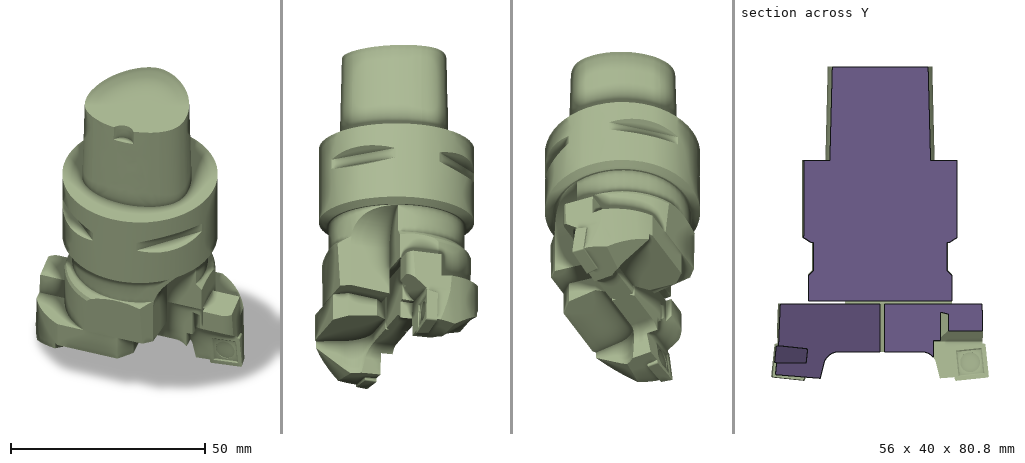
import cadquery as cq
import math

HALF_TURNS = (0, 180)
FAR = 60.0

shank_length = 24.0
polygon_width = 28.1
polygon_eccentricity = 0.9
shank_taper = 1 / 20
lobe_count = 3
points_per_span = 6
notch_radius = 3.0
notch_axis_y = -13.8
notch_depth = 4.0

flange_radius = 20.0
flange_height = 20.0
flange_chamfer_height = 1.3
flange_chamfer_width = 2.0
groove_z = -8.0
groove_floor_distance = 17.7
groove_floor_height = 2.5
groove_flank_angle = 30.0
groove_overrun = 1.0
groove_angles = (45, 135, 225, 315)

neck_radius = 17.5
neck_bottom_z = -28.4
head_radius = 19.4
head_bevel = 1.5
head_edge_height = 1.0
head_half_x = 18.5
head_half_y_top = 17.7
head_half_y_bottom = 17.1
flute_wall_x = 9.0
flute_top_radius = 9.0
flute_top_z = -(flange_height + flange_chamfer_height)
head_corner_x = 6.6
head_corner_y = 17.35
head_corner_sum = head_corner_x + head_corner_y

key_half_width = 4.5
slot_ceiling_z = -36.35
key_top_z = -36.95
joint_inner_z = -42.85
joint_outer_z = -41.3

plate_half_y = 17.0
plate_end_x = -3.2
plate_end_chamfer = 3.2
outline_arc = ((16.4, plate_half_y), (22.7, 11.9), (27.2, 3.0))
plate_root_chamfer = 3.2
slide_tip_turn = 4.4
slide_tip_x_top = 26.35
slide_tip_x_bend = 26.75
slide_tip_x_bottom = 27.7
slide_tip_bend_z = -46.7
slide_tip_radius = 3.0
slide_tip_round_start_x = 23.75
slide_bottom_z = -56.2
slide_tip_bottom_z = -55.2
bottom_bevel_inner_y = 7.1
bottom_bevel_outer_z = -49.6
web_end_chamfer = 1.0
tip_block_start_x = 18.8
arch_z = -49.4
arch_flat_x = 10.6
arch_middle = (13.2, -50.3)
arch_shoulder = (14.5, -52.6)
arch_foot_x = 15.4
web_half_width = 3.0
recess_wall_x = 17.3
recess_corner_radius = 6.5
recess_inner_z = -46.7
recess_outer_z = -48.2
seat_wall_x = 15.5
seat_lower_wall_x = 13.8
seat_top_z = -46.7
seat_roof_slope = 0.72
gash_end_x = 18.8
gash_depth = 2.2
gash_top_z = -39.2
gash_top_drop = 0.8

insert_side = 8.8
insert_thickness = 3.0
insert_corner_radius = 0.4
insert_relief_angle = 7.0
insert_turn = 6.0
insert_tilt = -3.5
insert_x = 23.19
insert_z = -52.04
chipbreaker_side = 6.7
chipbreaker_depth = 0.3
chipbreaker_wall_angle = 45.0
screw_head_diameter = 5.1
screw_recess_depth = 0.2


def polygon_point(width, angle):
    """Point of the three-lobed curve whose outward normal has the given angle from +Y."""
    support = width / 2 + polygon_eccentricity * math.cos(lobe_count * angle)
    slope = -lobe_count * polygon_eccentricity * math.sin(lobe_count * angle)
    x = -support * math.sin(angle) - slope * math.cos(angle)
    y = support * math.cos(angle) - slope * math.sin(angle)
    return cq.Vector(x, y, 0)


def polygon_wire(width, z):
    """Closed section of the shank, one smooth edge per lobe and per flank."""
    span = math.pi / lobe_count
    edges = []
    for i in range(2 * lobe_count):
        start = (i - 0.5) * span
        angles = [start + span * j / points_per_span for j in range(points_per_span + 1)]
        tangents = [cq.Vector(-math.cos(a), -math.sin(a), 0) for a in (angles[0], angles[-1])]
        edges.append(cq.Edge.makeSpline([polygon_point(width, a) for a in angles], tangents))
    return cq.Wire.assembleEdges(edges).translate(cq.Vector(0, 0, z))


def make_shank():
    top_width = polygon_width - shank_taper * shank_length
    sections = [polygon_wire(polygon_width, 0), polygon_wire(top_width, shank_length)]
    shank = cq.Workplane(obj=cq.Solid.makeLoft(sections, True))
    notch = (
        cq.Workplane("XY", origin=(0, notch_axis_y, shank_length - notch_depth))
        .circle(notch_radius)
        .extrude(2 * notch_depth)
    )
    return shank.cut(notch)


def make_flange_and_neck():
    flange_bottom_radius = flange_radius - flange_chamfer_width
    flange = (
        cq.Workplane("XZ")
        .moveTo(0, 0)
        .lineTo(flange_radius, 0)
        .lineTo(flange_radius, -flange_height)
        .lineTo(flange_bottom_radius, flute_top_z)
        .lineTo(neck_radius, flute_top_z)
        .lineTo(neck_radius, neck_bottom_z)
        .lineTo(0, neck_bottom_z)
        .close()
        .revolve(360, (0, 0, 0), (0, 1, 0))
    )
    reach = flange_radius + groove_overrun - groove_floor_distance
    floor_half = groove_floor_height / 2
    mouth_half = floor_half + reach * math.tan(math.radians(groove_flank_angle))
    groove = (
        cq.Workplane("XZ", origin=(0, 0, groove_z))
        .moveTo(groove_floor_distance, -floor_half)
        .lineTo(groove_floor_distance + reach, -mouth_half)
        .lineTo(groove_floor_distance + reach, mouth_half)
        .lineTo(groove_floor_distance, floor_half)
        .close()
        .extrude(flange_radius, both=True)
    )
    for angle in groove_angles:
        flange = flange.cut(groove.rotate((0, 0, 0), (0, 0, 1), angle))
    return flange


def make_head():
    """Round head with side flats, its underside shaped to the joint with the slides."""
    bevel_z = neck_bottom_z - head_bevel
    head = (
        cq.Workplane("XZ")
        .moveTo(0, neck_bottom_z)
        .lineTo(neck_radius, neck_bottom_z)
        .lineTo(neck_radius + head_bevel, bevel_z)
        .lineTo(head_radius, bevel_z - head_edge_height)
        .lineTo(head_radius, joint_inner_z)
        .lineTo(0, joint_inner_z)
        .close()
        .revolve(360, (0, 0, 0), (0, 1, 0))
    )
    joint_slope = (joint_outer_z - joint_inner_z) / (plate_half_y - key_half_width)
    head_edge_z = joint_inner_z + joint_slope * (head_half_y_bottom - key_half_width)
    side_profile = (
        cq.Workplane("YZ")
        .polyline([
            (-head_half_y_top, neck_bottom_z),
            (-head_half_y_bottom, head_edge_z),
            (-key_half_width, joint_inner_z),
            (-key_half_width, slot_ceiling_z),
            (key_half_width, slot_ceiling_z),
            (key_half_width, joint_inner_z),
            (head_half_y_bottom, head_edge_z),
            (head_half_y_top, neck_bottom_z),
        ])
        .close()
        .extrude(head_half_x, both=True)
    )
    head = head.intersect(side_profile)
    corner = (
        cq.Workplane("XY", origin=(0, 0, neck_bottom_z))
        .polyline([(0, -head_corner_sum), (head_corner_sum, 0), (head_corner_sum, -head_corner_sum)])
        .close()
        .extrude(joint_inner_z - neck_bottom_z)
    )
    for angle in HALF_TURNS:
        head = head.cut(corner.rotate((0, 0, 0), (0, 0, 1), angle))
    return head


def make_flute():
    """Chip flute on the +X, -Y side; its wall curves outwards at the top."""
    arc_bottom_z = flute_top_z - flute_top_radius
    arc_end_x = flute_wall_x + flute_top_radius
    return (
        cq.Workplane("XZ", origin=(0, -key_half_width, 0))
        .moveTo(flute_wall_x, -FAR)
        .lineTo(flute_wall_x, arc_bottom_z)
        .radiusArc((arc_end_x, flute_top_z), flute_top_radius)
        .lineTo(FAR, flute_top_z)
        .lineTo(FAR, -FAR)
        .close()
        .extrude(FAR)
    )


def make_adapter():
    adapter = make_flange_and_neck().union(make_shank()).union(make_head())
    flute = make_flute()
    for angle in HALF_TURNS:
        adapter = adapter.cut(flute.rotate((0, 0, 0), (0, 0, 1), angle))
    return adapter


def make_insert_blank():
    """Plain insert around the origin: rake face towards -Y, sides relieved towards +Y."""
    return (
        cq.Workplane("XZ")
        .rect(insert_side, insert_side)
        .extrude(-insert_thickness, taper=insert_relief_angle)
        .edges("not (|X or |Z)")
        .fillet(insert_corner_radius)
    )


def place_insert(shape):
    """Turns, tilts and moves a shape built around the middle of the rake face."""
    return (
        shape.rotate((0, 0, 0), (0, 1, 0), -insert_turn)
        .rotate((0, 0, 0), (1, 0, 0), insert_tilt)
        .translate((insert_x, 0, insert_z))
    )


def make_insert():
    chipbreaker = (
        cq.Workplane("XZ")
        .rect(chipbreaker_side, chipbreaker_side)
        .extrude(-chipbreaker_depth, taper=chipbreaker_wall_angle)
    )
    screw_recess = (
        cq.Workplane("XZ")
        .circle(screw_head_diameter / 2)
        .extrude(-chipbreaker_depth - screw_recess_depth)
    )
    return place_insert(make_insert_blank().cut(chipbreaker).cut(screw_recess))


def slide_tip():
    """Everything inside the two-plane end face of the slide."""
    profile = (
        cq.Workplane("XZ")
        .polyline([
            (-FAR, key_top_z),
            (slide_tip_x_top, key_top_z),
            (slide_tip_x_bend, slide_tip_bend_z),
            (slide_tip_x_bottom, slide_bottom_z),
            (-FAR, slide_bottom_z),
        ])
        .close()
        .extrude(FAR, both=True)
    )
    pivot = (slide_tip_x_top, -key_half_width)
    return profile.rotate((*pivot, 0), (*pivot, 1), slide_tip_turn)


def slide_block():
    """Slide outline: the common volume of its plan, its end profile and its side profile."""
    plan = (
        cq.Workplane("XY", origin=(0, 0, slide_bottom_z))
        .moveTo(plate_end_x, web_half_width + plate_root_chamfer)
        .lineTo(plate_end_x, plate_half_y - plate_end_chamfer)
        .lineTo(plate_end_x + plate_end_chamfer, plate_half_y)
        .lineTo(*outline_arc[0])
        .threePointArc(*outline_arc[1:])
        .lineTo(slide_tip_round_start_x + slide_tip_radius, slide_tip_radius - key_half_width)
        .radiusArc((slide_tip_round_start_x, -key_half_width), slide_tip_radius)
        .lineTo(tip_block_start_x, -key_half_width)
        .lineTo(tip_block_start_x, -web_half_width)
        .lineTo(web_end_chamfer, -web_half_width)
        .lineTo(0, -web_half_width + web_end_chamfer)
        .lineTo(plate_end_x + plate_root_chamfer, web_half_width)
        .close()
        .extrude(key_top_z - slide_bottom_z)
    )
    end_profile = (
        cq.Workplane("YZ")
        .polyline([
            (-key_half_width, key_top_z),
            (key_half_width, key_top_z),
            (key_half_width, joint_inner_z),
            (plate_half_y, joint_outer_z),
            (plate_half_y, bottom_bevel_outer_z),
            (bottom_bevel_inner_y, slide_bottom_z),
            (-key_half_width, slide_bottom_z),
        ])
        .close()
        .extrude(FAR, both=True)
    )
    bottom_slope = (slide_tip_bottom_z - slide_bottom_z) / (slide_tip_x_bottom - arch_foot_x)
    side_profile = (
        cq.Workplane("XZ", origin=(0, -key_half_width, 0))
        .moveTo(plate_end_x, key_top_z)
        .lineTo(FAR, key_top_z)
        .lineTo(FAR, slide_bottom_z + bottom_slope * (FAR - arch_foot_x))
        .lineTo(arch_foot_x, slide_bottom_z)
        .lineTo(*arch_shoulder)
        .threePointArc(arch_middle, (arch_flat_x, arch_z))
        .lineTo(plate_end_x, arch_z)
        .close()
        .extrude(-FAR)
    )
    return plan.intersect(end_profile).intersect(side_profile).intersect(slide_tip())


def slide_recess():
    """Clearance under the plate, with a rounded inner corner and a sloping ceiling."""
    ceiling_slope = (recess_outer_z - recess_inner_z) / (plate_half_y - web_half_width)
    plan = (
        cq.Workplane("XY", origin=(0, 0, -FAR))
        .moveTo(-FAR, web_half_width)
        .lineTo(recess_wall_x - recess_corner_radius, web_half_width)
        .radiusArc((recess_wall_x, web_half_width + recess_corner_radius), -recess_corner_radius)
        .lineTo(recess_wall_x, FAR)
        .lineTo(-FAR, FAR)
        .close()
        .extrude(FAR)
    )
    under_plate = (
        cq.Workplane("YZ")
        .polyline([
            (web_half_width, recess_inner_z),
            (FAR, recess_inner_z + ceiling_slope * (FAR - web_half_width)),
            (FAR, -2 * FAR),
            (web_half_width, -2 * FAR),
        ])
        .close()
        .extrude(FAR, both=True)
    )
    return plan.intersect(under_plate)


def insert_seat():
    """Space in front of the insert: a flat in line with the rake face, under a sloping roof."""
    seat_reach = 2 * key_half_width
    roof = (
        cq.Workplane("YZ", origin=(seat_wall_x, 0, 0))
        .polyline([
            (0, seat_top_z),
            (-seat_reach, seat_top_z + seat_roof_slope * seat_reach),
            (-seat_reach, -FAR),
            (0, -FAR),
        ])
        .close()
        .extrude(FAR)
    )
    lower = cq.Workplane("XY").box(FAR, seat_reach, FAR, centered=False)
    seat = roof.union(lower.translate((seat_lower_wall_x, -seat_reach, seat_top_z - FAR)))
    return seat.rotate((0, 0, insert_z), (1, 0, insert_z), insert_tilt)


def chip_gash():
    """Wedge above the seat, deepest at its inner wall."""
    wedge = (
        cq.Workplane("XY", origin=(0, 0, seat_top_z))
        .polyline([
            (seat_wall_x, -key_half_width),
            (seat_wall_x, -web_half_width + gash_depth),
            (gash_end_x, -key_half_width),
        ])
        .close()
        .extrude(gash_top_z - seat_top_z)
    )
    under_top = (
        cq.Workplane("XZ")
        .polyline([
            (seat_wall_x, gash_top_z),
            (gash_end_x, gash_top_z - gash_top_drop),
            (gash_end_x, seat_top_z),
            (seat_wall_x, seat_top_z),
        ])
        .close()
        .extrude(key_half_width)
    )
    return wedge.intersect(under_top)


def make_slide():
    slide = slide_block().cut(slide_recess()).cut(insert_seat()).cut(chip_gash())
    return slide.cut(place_insert(make_insert_blank()))


adapter = make_adapter()
slide = make_slide()
insert = make_insert()
bodies = [adapter.solids().val()]
for angle in HALF_TURNS:
    for part in (slide, insert):
        bodies.append(part.rotate((0, 0, 0), (0, 0, 1), angle).solids().val())
result = cq.Compound.makeCompound(bodies)